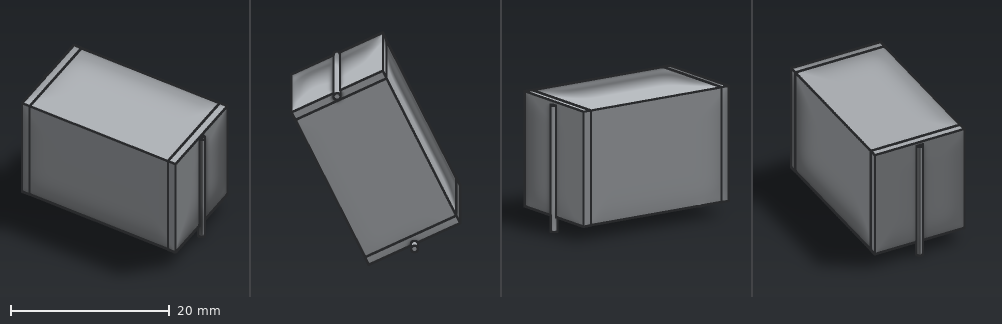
import cadquery as cq

overall_length = 23.4
overall_height = 16.9
depth = 12.8

pin_diameter = 0.9
pin_protrusion = 1.92
pin_top_setback = 0.47

plate_thickness = 1.12
body_setback = 0.02

case_length = overall_length - pin_diameter
plate_height = overall_height - pin_protrusion
body_length = case_length - 2 * plate_thickness
pin_length = overall_height - pin_top_setback


def block(length, width, height, bottom):
    """Box centred on the Z axis with its underside at the given height."""
    return cq.Workplane("XY", origin=(0, 0, bottom)).box(
        length, width, height, centered=(True, True, False)
    )


result = block(
    body_length,
    depth - 2 * body_setback,
    plate_height - 2 * body_setback,
    body_setback,
)

for side in (-1, 1):
    plate = block(plate_thickness, depth, plate_height, 0)
    plate_center = side * (case_length - plate_thickness) / 2
    result = result.union(plate.translate((plate_center, 0, 0)))

    pin = (
        cq.Workplane("XY", origin=(side * case_length / 2, 0, -pin_protrusion))
        .circle(pin_diameter / 2)
        .extrude(pin_length)
    )
    result = result.union(pin)